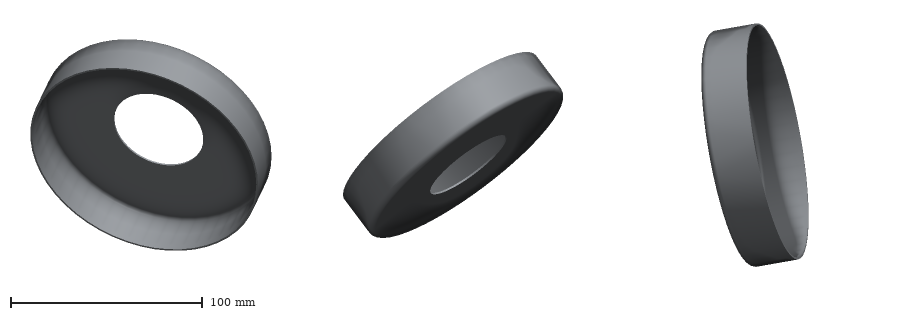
import cadquery as cq

outer_diameter = 125.0
depth = 25.0
sheet_thickness = 1.0
hole_diameter = 49.0
outer_corner_radius = 3.0
inner_corner_radius = outer_corner_radius - sheet_thickness


def rounded_disc(diameter, length, corner_radius):
    """Cylinder from Y = 0 toward +Y with its far edge rounded."""
    disc = cq.Workplane("XZ").circle(diameter / 2).extrude(-length)
    return disc.faces(">Y").edges().fillet(corner_radius)


shell = rounded_disc(outer_diameter, depth, outer_corner_radius)
cavity = rounded_disc(
    outer_diameter - 2 * sheet_thickness,
    depth - sheet_thickness,
    inner_corner_radius,
)
hole = cq.Workplane("XZ").circle(hole_diameter / 2).extrude(-depth)

result = shell.cut(cavity).cut(hole)